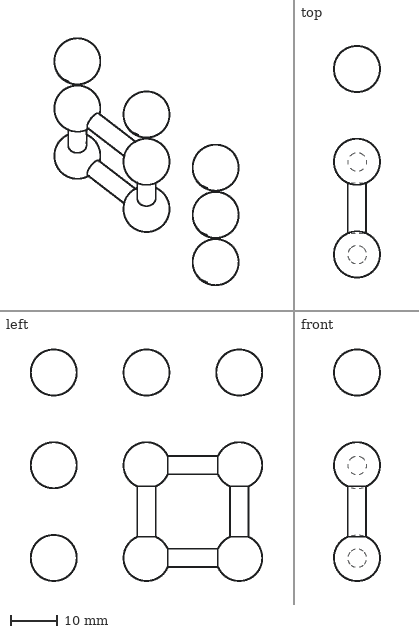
import cadquery as cq

ball_diameter = 10.0
rod_diameter = 4.0
pitch = 20.0
grid_count = 3
frame_count = 2

ball_radius = ball_diameter / 2
rod_radius = rod_diameter / 2


def grid_point(column, row):
    """Centre of a ball: columns run along +Y, rows along +Z, all in the plane X = 0."""
    return cq.Vector(0, column * pitch, row * pitch)


def make_ball(column, row):
    """One ball centred on its grid point."""
    return cq.Workplane("XY").sphere(ball_radius).translate(grid_point(column, row))


def make_rod(column, row, direction):
    """One rod from the centre of a ball to the centre of the next one."""
    rod = cq.Solid.makeCylinder(rod_radius, pitch, grid_point(column, row), direction)
    return cq.Workplane(obj=rod)


def make_frame():
    """Four corner balls joined by four rods into one square solid."""
    last = frame_count - 1
    along_y = cq.Vector(0, 1, 0)
    along_z = cq.Vector(0, 0, 1)
    frame = make_rod(0, 0, along_y)
    frame = frame.union(make_rod(0, last, along_y))
    frame = frame.union(make_rod(0, 0, along_z))
    frame = frame.union(make_rod(last, 0, along_z))
    for column in range(frame_count):
        for row in range(frame_count):
            frame = frame.union(make_ball(column, row))
    return frame


def make_loose_balls():
    """Separate balls on the grid points outside the frame."""
    balls = []
    for column in range(grid_count):
        for row in range(grid_count):
            in_frame = column < frame_count and row < frame_count
            if not in_frame:
                balls.append(make_ball(column, row).val())
    return balls


frame = make_frame().solids()
loose_balls = make_loose_balls()

result = cq.Compound.makeCompound([frame.val(), *loose_balls])